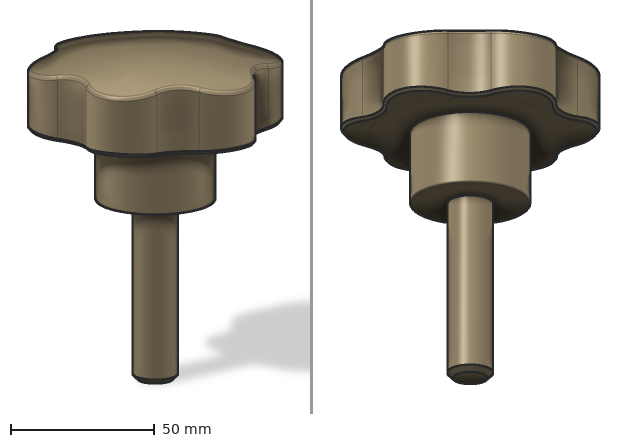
import cadquery as cq
import math


total_height = 120.0
shank_length = 65.0
head_height = 28.9
head_top = total_height - shank_length
hub_height = head_top - head_height

lobe_count = 6
head_radius = 45.0
lobe_radius = 15.0
lobe_center_radius = head_radius - lobe_radius
lobe_pitch = 360.0 / lobe_count
first_lobe_angle = 90.0
valley_center_radius = 2 * lobe_center_radius * math.cos(math.radians(lobe_pitch / 2))
valley_bottom_radius = valley_center_radius - lobe_radius

dome_radius = 154.0
flat_radius = 35.0
rim_curve_radius = 45.0
upper_edge_fillet = 1.5
lower_edge_chamfer = 1.0
envelope_margin = 2.0

hub_diameter = 42.0
hub_edge_fillet = 0.5
shank_diameter = 16.0
shank_chamfer = 2.0


def polar(radius, angle):
    """Point at the given radius and angle in degrees."""
    radians = math.radians(angle)
    return (radius * math.cos(radians), radius * math.sin(radians))


def tangent_point(lobe_angle, valley_angle):
    """Point where a lobe arc meets the neighbouring valley arc."""
    lobe_center = polar(lobe_center_radius, lobe_angle)
    valley_center = polar(valley_center_radius, valley_angle)
    return tuple((a + b) / 2 for a, b in zip(lobe_center, valley_center))


def lobed_prism():
    """Upright prism over the full head height with the lobed outline."""
    half_pitch = lobe_pitch / 2
    outline = cq.Workplane("XY").workplane(offset=hub_height)
    outline = outline.moveTo(*tangent_point(first_lobe_angle, first_lobe_angle - half_pitch))
    for index in range(lobe_count):
        lobe_angle = first_lobe_angle + index * lobe_pitch
        valley_angle = lobe_angle + half_pitch
        next_lobe_angle = lobe_angle + lobe_pitch
        outline = outline.threePointArc(
            polar(head_radius, lobe_angle), tangent_point(lobe_angle, valley_angle)
        )
        outline = outline.threePointArc(
            polar(valley_bottom_radius, valley_angle), tangent_point(next_lobe_angle, valley_angle)
        )
    return outline.close().extrude(head_height)


def rim_rise(radius):
    """Height of the upturned underside above its flat part at the given radius."""
    return rim_curve_radius - math.sqrt(rim_curve_radius**2 - (radius - flat_radius) ** 2)


def dome_height(radius):
    """Height of the domed top at the given radius."""
    return head_top - dome_radius + math.sqrt(dome_radius**2 - radius**2)


def head_envelope():
    """Turned body with a domed top and an underside that curves up towards the rim."""
    outer_radius = head_radius + envelope_margin
    middle_rim_radius = (flat_radius + outer_radius) / 2
    return (
        cq.Workplane("XZ")
        .moveTo(0, hub_height)
        .lineTo(flat_radius, hub_height)
        .threePointArc(
            (middle_rim_radius, hub_height + rim_rise(middle_rim_radius)),
            (outer_radius, hub_height + rim_rise(outer_radius)),
        )
        .lineTo(outer_radius, dome_height(outer_radius))
        .threePointArc((outer_radius / 2, dome_height(outer_radius / 2)), (0, head_top))
        .close()
        .revolve(360, (0, 0, 0), (0, 1, 0))
    )


def rim_edges(body):
    """End edges of the lobed wall, above and below."""
    return body.faces("%CYLINDER").edges("not(|Z)")


def head():
    """Lobed head trimmed to the turned envelope, rounded above and chamfered below."""
    middle_height = hub_height + head_height / 2
    trimmed = lobed_prism().intersect(head_envelope())
    upper_rim = rim_edges(trimmed).filter(lambda edge: edge.Center().z > middle_height)
    rounded = upper_rim.fillet(upper_edge_fillet)
    lower_rim = rim_edges(rounded).filter(lambda edge: edge.Center().z < middle_height)
    return lower_rim.chamfer(lower_edge_chamfer)


def hub():
    """Round collar under the head."""
    collar = cq.Workplane("XY").circle(hub_diameter / 2).extrude(hub_height)
    return collar.faces("<Z").edges().fillet(hub_edge_fillet)


def shank():
    """Round stud with a chamfered tip."""
    stud = cq.Workplane("XY").circle(shank_diameter / 2).extrude(-shank_length)
    return stud.faces("<Z").edges().chamfer(shank_chamfer)


result = head().union(hub()).union(shank())